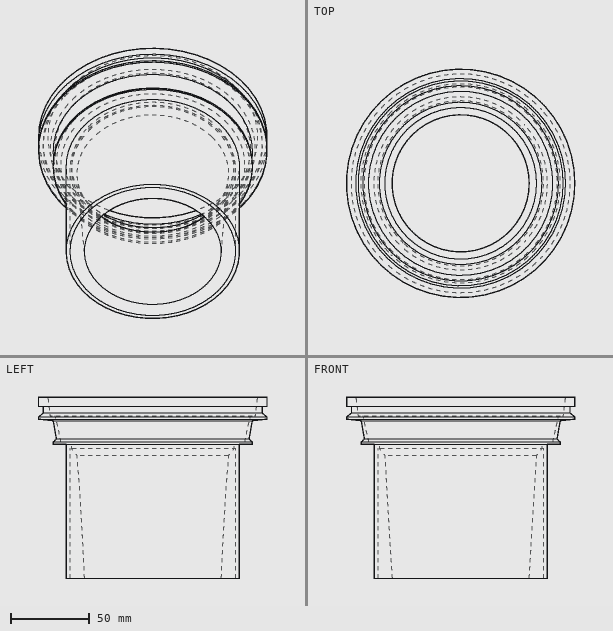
import cadquery as cq

total_height = 115.0
rim_bottom = total_height - 6.0
groove_bottom = total_height - 10.0
bead_edge_top = total_height - 12.5
bead_edge_bottom = total_height - 14.0
bead_bottom = total_height - 15.0
collar_top = total_height - 26.5
collar_edge_top = total_height - 28.5
collar_bottom = total_height - 30.0
socket_ledge = total_height - 12.0
socket_floor = total_height - 28.4
lip_bottom = total_height - 32.7
lead_in_bottom = total_height - 37.0

rim_radius = 145.0 / 2
groove_radius = 139.0 / 2
collar_radius = 126.45 / 2
pipe_radius = 110.0 / 2
neck_top_radius = collar_radius
neck_inset = 2.0
neck_bottom_radius = collar_radius - neck_inset

mouth_radius = 66.5
mouth_end_radius = 65.0
socket_top_radius = 62.0
socket_floor_radius = 58.4
lip_radius = 103.0 / 2
pipe_bore_radius = 105.0 / 2

liner_throat_radius = 48.1
liner_outlet_radius = 43.4


def revolve_profile(points):
    """Turn a closed (radius, height) outline around the Z axis."""
    return cq.Workplane("XZ").polyline(points).close().revolve(360, (0, 0, 0), (0, 1, 0))


def make_housing():
    """Stepped socket with a rim, a groove, a bead and a collar, on a straight pipe."""
    outside = [
        (pipe_radius, 0),
        (pipe_radius, collar_bottom),
        (collar_radius, collar_bottom),
        (collar_radius, collar_edge_top),
        (neck_bottom_radius, collar_top),
        (neck_top_radius, bead_bottom),
        (rim_radius, bead_edge_bottom),
        (rim_radius, bead_edge_top),
        (groove_radius, groove_bottom),
        (groove_radius, rim_bottom),
        (rim_radius, rim_bottom),
        (rim_radius, total_height),
    ]
    inside = [
        (mouth_radius, total_height),
        (mouth_end_radius, socket_ledge),
        (socket_top_radius, socket_ledge),
        (socket_floor_radius, socket_floor),
        (lip_radius, socket_floor),
        (lip_radius, lip_bottom),
        (pipe_bore_radius, lip_bottom),
        (pipe_bore_radius, 0),
    ]
    return revolve_profile(outside + inside)


def make_liner():
    """Thick sleeve filling the pipe below the lip, with a lead-in cone and a tapered bore."""
    outline = [
        (pipe_bore_radius, 0),
        (pipe_bore_radius, lip_bottom),
        (lip_radius, lip_bottom),
        (liner_throat_radius, lead_in_bottom),
        (liner_outlet_radius, 0),
    ]
    return revolve_profile(outline)


housing = make_housing()
liner = make_liner()

result = cq.Compound.makeCompound([housing.val(), liner.val()])